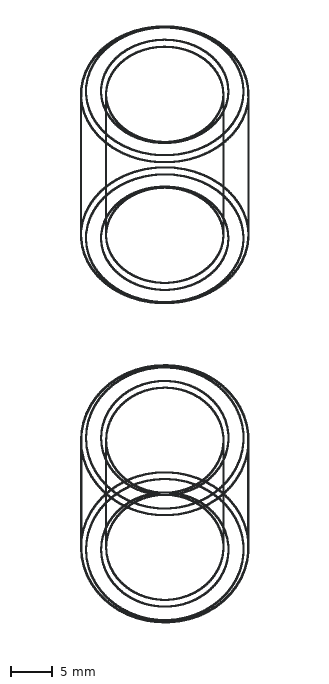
import cadquery as cq

length = 30.0
outer_diameter = 20.0
bore_diameter = 14.0
chamfer = 0.6

sleeve = (
    cq.Workplane("XY")
    .circle(outer_diameter / 2)
    .circle(bore_diameter / 2)
    .extrude(length)
)

result = sleeve.faces("<Z or >Z").edges().chamfer(chamfer)